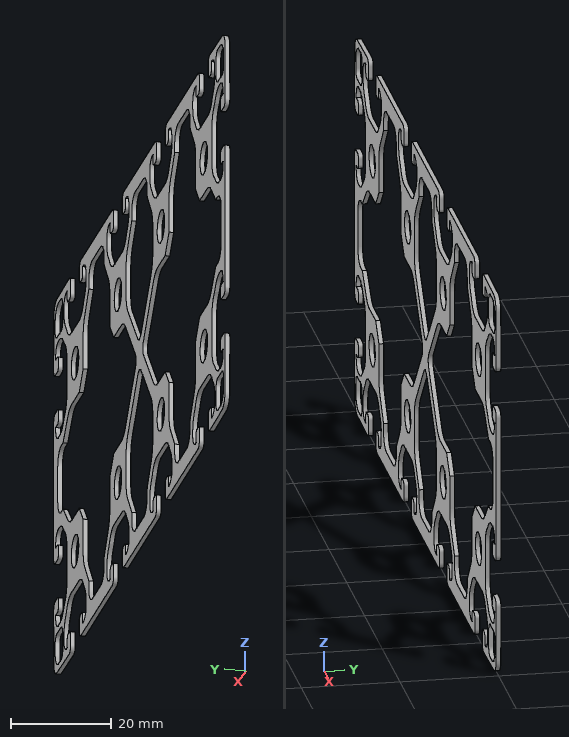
import cadquery as cq
import math

length = 160.0
columns = 4
rows = 2
pitch = length / columns
height = rows * pitch
thickness = 1.0
half_cell = pitch / 2

bore_diameter = 6.7
core_half = 7.7
core_chamfer_start = 4.0

brace_offset = 2.4
brace_radius = 2.0

wall = 4.0
web_foot_offset = 2.5
web_head_offset = 2.0
web_root_radius = 5.6
pocket_side = 13.0
pocket_radius = 3.2

mouth_half = 4.0
mouth_radius = 1.5
lip_depth = 4.6
lip_outer = 7.2
lip_radius = 1.0
roof_depth = 2.0
slot_half = 10.2
slot_roof_radius = 2.4
slot_side_radius = 4.8
slot_shoulder = 7.8
slot_shoulder_offset = 2.2
slot_floor_half = 6.4
slot_floor_radius = 4.8

taper_start = 6.7
taper_drop = 0.24
corner_radius = 2.9
hollow_wall = 1.6
hollow_size = 6.9
hollow_outer_radius = 3.2
hollow_inner_radius = 1.6

column_centers = [(i - (columns - 1) / 2) * pitch for i in range(columns)]
row_centers = [(i - (rows - 1) / 2) * pitch for i in range(rows)]
cell_centers = [(x, z) for x in column_centers for z in row_centers]


def rounded_prism(corners):
    """Extrude a closed outline of (x, z, radius) corners; radius 0 leaves a corner sharp."""
    shortest_line = 1.6e-06
    path = []
    count = len(corners)
    for i, (x, z, radius) in enumerate(corners):
        corner = cq.Vector(x, z)
        to_previous = (cq.Vector(*corners[i - 1][:2]) - corner).normalized()
        to_next = (cq.Vector(*corners[(i + 1) % count][:2]) - corner).normalized()
        if radius == 0:
            path.append((corner, None, corner))
            continue
        half_angle = to_previous.getAngle(to_next) / 2
        tangent_length = radius / math.tan(half_angle)
        apex_distance = radius / math.sin(half_angle) - radius
        apex = corner + (to_previous + to_next).normalized() * apex_distance
        path.append((corner + to_previous * tangent_length, apex, corner + to_next * tangent_length))

    outline = cq.Workplane("XZ").moveTo(*path[0][2].toTuple()[:2])
    position = path[0][2]
    for start, apex, end in path[1:] + path[:1]:
        if (start - position).Length > shortest_line:
            outline = outline.lineTo(start.x, start.y)
        if apex is not None:
            outline = outline.threePointArc((apex.x, apex.y), (end.x, end.y))
        position = end
    return outline.close().extrude(thickness / 2, both=True)


def mirror_x(corners):
    """Return corners followed by their mirror images in x = 0, in reverse order."""
    return corners + [(-x, z, radius) for x, z, radius in reversed(corners)]


def mirror_z(corners):
    """Return corners followed by their mirror images in z = 0, in reverse order."""
    return corners + [(x, -z, radius) for x, z, radius in reversed(corners)]


def shift(corners, x_shift, z_shift):
    """Move corners by the given distances."""
    return [(x + x_shift, z + z_shift, radius) for x, z, radius in corners]


def wall_pocket_side():
    """Cell-local pocket edge on the right of a core: core side, slanted web, then outer wall."""
    return [
        (core_half, core_half - web_foot_offset, web_root_radius),
        (pocket_side, pocket_side - web_head_offset, 0),
        (pocket_side, half_cell - wall, pocket_radius),
    ]


def outer_plate():
    """Solid plate whose faces taper slightly towards the four rounded corners."""
    corner = (length / 2 - taper_drop, height / 2 - taper_drop, corner_radius)
    top_break = (length / 2 - half_cell + taper_start, height / 2, 0)
    side_break = (length / 2, height / 2 - half_cell + taper_start, 0)
    return rounded_prism(mirror_z(mirror_x([side_break, corner, top_break])))


def end_pocket():
    """Large pocket at the -X end, bounded on its inner side by the crossing braces."""
    side = wall_pocket_side()
    side_facing_left = [(-x, z, radius) for x, z, radius in reversed(side)]
    side_facing_down = [(-z, -x, radius) for x, z, radius in reversed(side)]

    end_cell = side_facing_down + [
        (core_chamfer_start, -core_half, 0),
        (core_half, -core_chamfer_start, 0),
    ] + side
    inner_cell = side_facing_left + [
        (-core_half, -core_chamfer_start, 0),
        (-core_chamfer_start, -core_half, 0),
        (core_half - brace_offset, -core_half, web_root_radius),
    ]

    upper_edge = shift(end_cell, column_centers[0], row_centers[-1])
    upper_edge += shift(inner_cell, column_centers[1], row_centers[-1])
    brace_crotch = (-brace_offset, 0, brace_radius)
    return rounded_prism([brace_crotch] + mirror_z(upper_edge[::-1]))


def middle_pocket():
    """Pocket between the two middle columns, above the crossing braces."""
    cell = [(core_half, brace_offset - core_half, web_root_radius)] + wall_pocket_side()
    left_edge = shift(cell, column_centers[1], row_centers[-1])
    brace_crotch = (0, brace_offset, brace_radius)
    return rounded_prism([brace_crotch] + mirror_x(left_edge))


def t_slot():
    """Slot opening towards +Z, placed relative to the centre of its cell."""
    mouth_edge = mouth_half + mouth_radius
    half = [
        (mouth_edge, half_cell + mouth_radius, 0),
        (mouth_edge, half_cell, 0),
        (mouth_half, half_cell, mouth_radius),
        (mouth_half, half_cell - lip_depth, lip_radius),
        (lip_outer, half_cell - lip_depth, lip_radius),
        (lip_outer, half_cell - roof_depth, 0),
        (slot_half, half_cell - roof_depth, slot_roof_radius),
        (slot_half, slot_half + slot_shoulder_offset, slot_side_radius),
        (slot_shoulder, slot_shoulder + slot_shoulder_offset, 0),
        (slot_floor_half, core_half, slot_floor_radius),
    ]
    return rounded_prism(mirror_x(half))


def corner_hollow():
    """Rounded square hollow in the +X +Z corner."""
    x_outer = length / 2 - hollow_wall
    z_outer = height / 2 - hollow_wall
    return rounded_prism([
        (x_outer, z_outer, hollow_outer_radius),
        (x_outer, z_outer - hollow_size, hollow_inner_radius),
        (x_outer - hollow_size, z_outer - hollow_size, hollow_inner_radius),
        (x_outer - hollow_size, z_outer, hollow_inner_radius),
    ])


result = outer_plate()

left_pocket = end_pocket()
top_pocket = middle_pocket()
result = result.cut(left_pocket).cut(left_pocket.mirror("YZ"))
result = result.cut(top_pocket).cut(top_pocket.mirror("XY"))

top_slot = t_slot()
bottom_slot = top_slot.mirror("XY")
for x in column_centers:
    result = result.cut(top_slot.translate((x, 0, row_centers[-1])))
    result = result.cut(bottom_slot.translate((x, 0, row_centers[0])))

right_slot = top_slot.rotate((0, 0, 0), (0, 1, 0), 90)
left_slot = right_slot.mirror("YZ")
for z in row_centers:
    result = result.cut(right_slot.translate((column_centers[-1], 0, z)))
    result = result.cut(left_slot.translate((column_centers[0], 0, z)))

top_right_hollow = corner_hollow()
top_left_hollow = top_right_hollow.mirror("YZ")
for hollow in (top_right_hollow, top_left_hollow):
    result = result.cut(hollow).cut(hollow.mirror("XY"))

bores = cq.Workplane("XZ").pushPoints(cell_centers).circle(bore_diameter / 2).extrude(thickness, both=True)
result = result.cut(bores)